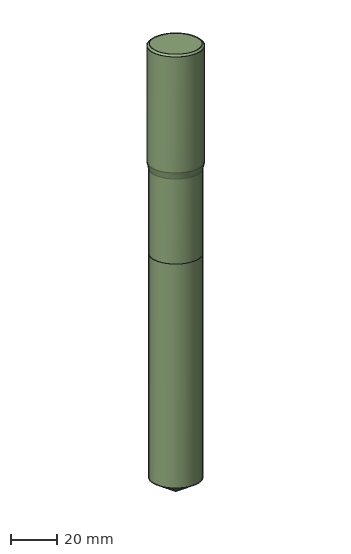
import cadquery as cq
import math

total_length = 212.0
shank_diameter = 25.0
cutter_diameter = 23.5
point_angle = 120.0
joint_height = 112.8
shoulder_bottom = 153.0
shoulder_height = 3.2
top_chamfer_width = 1.0
top_chamfer_height = 0.8

shank_radius = shank_diameter / 2
cutter_radius = cutter_diameter / 2
point_height = cutter_radius / math.tan(math.radians(point_angle / 2))


def revolve_profile(points):
    """Revolve a closed (radius, height) outline a full turn about Z."""
    return cq.Workplane("XZ").polyline(points).close().revolve(360, (0, 0, 0), (0, 1, 0))


def make_holder():
    """Chamfered shank, tapered shoulder and neck flush with the cutter."""
    return revolve_profile([
        (0, joint_height),
        (cutter_radius, joint_height),
        (cutter_radius, shoulder_bottom),
        (shank_radius, shoulder_bottom + shoulder_height),
        (shank_radius, total_length - top_chamfer_height),
        (shank_radius - top_chamfer_width, total_length),
        (0, total_length),
    ])


def make_cutter():
    """Plain cylinder ending in a conical point at the origin."""
    return revolve_profile([
        (0, 0),
        (cutter_radius, point_height),
        (cutter_radius, joint_height),
        (0, joint_height),
    ])


holder = make_holder()
cutter = make_cutter()

result = cq.Compound.makeCompound([holder.val(), cutter.val()])